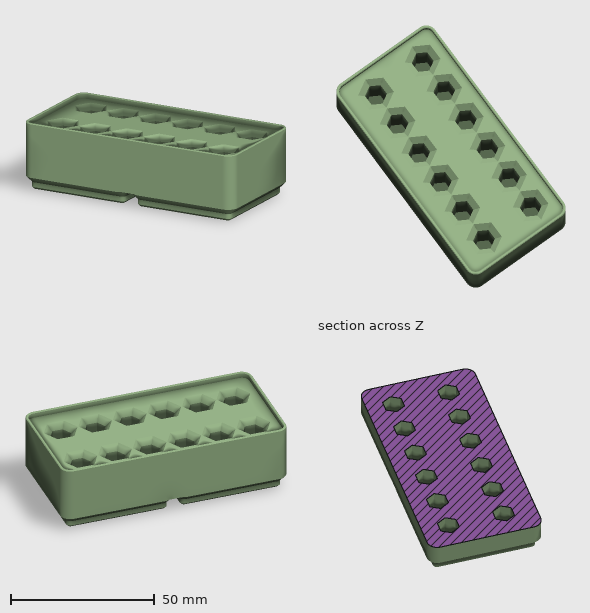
import cadquery as cq
import math

cell_count = 2
length = 83.5
width = 41.5
height = 24.5
cell_clearance = 0.25
cell_size = width + 2 * cell_clearance
corner_radius = 3.75

foot_height = 5.0
flare_taper = -45
foot_lower_chamfer = 0.8
foot_upper_chamfer = 2.4
foot_straight_height = foot_height - foot_lower_chamfer - foot_upper_chamfer
foot_bottom_inset = foot_lower_chamfer + foot_upper_chamfer
cell_corner_radius = corner_radius + cell_clearance

rim_thickness = 1.0
rim_height = 2.0
rim_chamfer = 0.25
deck_z = height - rim_height

hexagon_sides = 6
socket_columns = 6
socket_rows = 2
column_pitch = 12.8
row_pitch = 20.0
socket_shift_y = 1.0
socket_flats = 6.6
mouth_flats = 10.8
mouth_depth = 2.1
socket_depth = deck_z - foot_height


def rounded_slab(size_x, size_y, radius, base_z, slab_height, taper=0.0):
    """Rounded rectangle extruded upward; a negative taper widens it."""
    outline = cq.Sketch().rect(size_x, size_y).vertices().fillet(radius)
    return cq.Workplane("XY", origin=(0, 0, base_z)).placeSketch(outline).extrude(slab_height, taper=taper)


def make_foot():
    """Foot with a 45 degree lower chamfer, a straight band and a 45 degree flare."""
    bottom_size = cell_size - 2 * foot_bottom_inset
    bottom_radius = cell_corner_radius - foot_bottom_inset
    band_size = cell_size - 2 * foot_upper_chamfer
    band_radius = cell_corner_radius - foot_upper_chamfer
    band_top = foot_lower_chamfer + foot_straight_height
    lower = rounded_slab(bottom_size, bottom_size, bottom_radius, 0, foot_lower_chamfer, flare_taper)
    band = rounded_slab(band_size, band_size, band_radius, foot_lower_chamfer, foot_straight_height)
    flare = rounded_slab(band_size, band_size, band_radius, band_top, foot_upper_chamfer, flare_taper)
    return lower.union(band).union(flare)


def make_body():
    """Block above the feet, with a recessed deck and a rim chamfered on both edges."""
    block = rounded_slab(length, width, corner_radius, foot_height, height - foot_height)
    recess = rounded_slab(
        length - 2 * rim_thickness,
        width - 2 * rim_thickness,
        corner_radius - rim_thickness,
        deck_z,
        rim_height,
    )
    return block.cut(recess).faces(">Z").edges().chamfer(rim_chamfer)


def make_socket():
    """Hexagonal shaft plus flared mouth, with its top centred on the deck at the origin."""
    corner_factor = 1 / math.cos(math.pi / hexagon_sides)
    shaft_diameter = socket_flats * corner_factor
    mouth_diameter = mouth_flats * corner_factor
    shaft = cq.Workplane("XY").polygon(hexagon_sides, shaft_diameter).extrude(-socket_depth)
    mouth = (
        cq.Workplane("XY")
        .polygon(hexagon_sides, mouth_diameter)
        .workplane(offset=-mouth_depth)
        .polygon(hexagon_sides, shaft_diameter)
        .loft(ruled=True)
    )
    return shaft.union(mouth)


part = make_body()
envelope = rounded_slab(length, width, corner_radius, 0, foot_height)
foot = make_foot()
for index in range(cell_count):
    foot_x = (index - (cell_count - 1) / 2) * cell_size
    part = part.union(foot.translate((foot_x, 0, 0)).intersect(envelope))

socket = make_socket()
for column in range(socket_columns):
    for row in range(socket_rows):
        socket_x = (column - (socket_columns - 1) / 2) * column_pitch
        socket_y = socket_shift_y + (row - (socket_rows - 1) / 2) * row_pitch
        part = part.cut(socket.translate((socket_x, socket_y, deck_z)))

result = part